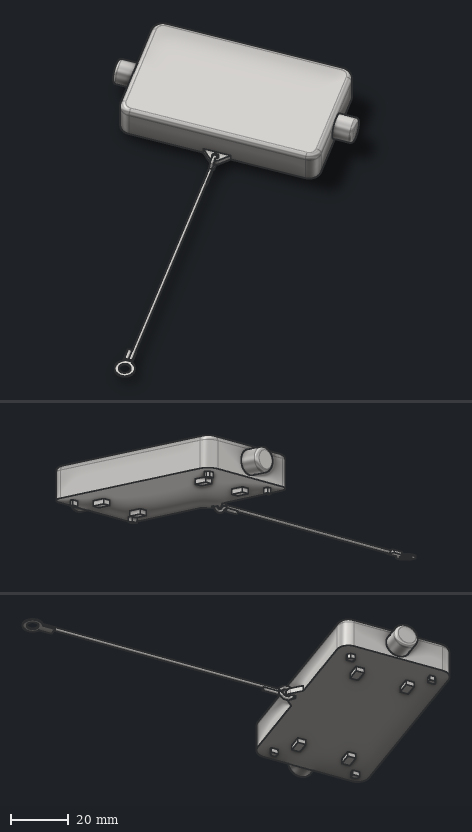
import cadquery as cq
import math

OVERALL_LENGTH = 147.5

COVER_LENGTH = 73.2
COVER_WIDTH = 42.8
COVER_HEIGHT = 12.1
CORNER_RADIUS = 4.4
TOP_EDGE_RADIUS = 1.9

BOSS_SPAN = 87.5
BOSS_RADIUS = 4.5
BOSS_HEIGHT = 5.5
BOSS_EDGE_RADIUS = 1.2

PAD_HEIGHT = 1.9
BLOCK_PAD_LENGTH = 4.9
BLOCK_PAD_WIDTH = 3.1
BLOCK_PAD_X = 23.6
BLOCK_PAD_Y = 9.6
CORNER_PAD_LENGTH = 1.8
CORNER_PAD_WIDTH = 2.7
CORNER_PAD_X = 31.3
CORNER_PAD_Y = 15.6
CORNER_PAD_CHAMFER = 0.9

TAB_HALF_WIDTH = 5.0
TAB_THICKNESS = 2.2
TAB_TIP_RADIUS = 2.2
TAB_HOLE_RADIUS = 1.2

CORD_RADIUS = 0.66
CORD_HEIGHT = TAB_THICKNESS / 2
LOOP_RADIUS = 2.2
TAIL_LENGTH = 5.9
TAIL_DROP = 1.0

RING_RADIUS = 3.5
RING_HOLE_RADIUS = 2.0
RING_THICKNESS = 0.5
TERMINAL_X = -0.7
NECK_WIDTH = 3.1
CRIMP_HEIGHT = 1.3
CRIMP_LENGTH = 4.4

FRONT_WALL_Y = -COVER_WIDTH / 2
TAB_APEX_Y = FRONT_WALL_Y - TAB_HALF_WIDTH
TAB_HOLE_Y = TAB_APEX_Y + TAB_TIP_RADIUS * math.sqrt(2)
LOOP_Y = TAB_HOLE_Y - LOOP_RADIUS
LOOP_TIP_Y = LOOP_Y - LOOP_RADIUS * math.sqrt(2)
RING_Y = COVER_WIDTH / 2 - OVERALL_LENGTH + RING_RADIUS
RING_BOTTOM = CORD_HEIGHT - CORD_RADIUS
CRIMP_END_Y = RING_Y + RING_RADIUS
NECK_LEFT_X = TERMINAL_X - NECK_WIDTH / 2
CRIMP_RIGHT_X = -CORD_RADIUS


def make_shell():
    block = cq.Workplane("XY").box(COVER_LENGTH, COVER_WIDTH, COVER_HEIGHT, centered=(True, True, False))
    return block.edges("|Z").fillet(CORNER_RADIUS).faces(">Z").edges().fillet(TOP_EDGE_RADIUS)


def make_bosses():
    boss_rod = cq.Workplane("YZ").center(0, BOSS_HEIGHT).circle(BOSS_RADIUS).extrude(BOSS_SPAN / 2, both=True)
    return boss_rod.faces("<X or >X").edges().fillet(BOSS_EDGE_RADIUS)


def make_block_pad(side_x, side_y):
    return (
        cq.Workplane("XY")
        .center(side_x * BLOCK_PAD_X, side_y * BLOCK_PAD_Y)
        .rect(BLOCK_PAD_LENGTH, BLOCK_PAD_WIDTH)
        .extrude(-PAD_HEIGHT)
    )


def make_corner_pad(side_x, side_y):
    """Small pad whose vertical edge nearest the cover corner is chamfered."""
    outer_x = CORNER_PAD_LENGTH / 2
    outer_y = CORNER_PAD_WIDTH / 2
    outline = [
        (-outer_x, -outer_y),
        (outer_x, -outer_y),
        (outer_x, outer_y - CORNER_PAD_CHAMFER),
        (outer_x - CORNER_PAD_CHAMFER, outer_y),
        (-outer_x, outer_y),
    ]
    points = [(side_x * (CORNER_PAD_X + x), side_y * (CORNER_PAD_Y + y)) for x, y in outline]
    return cq.Workplane("XY").polyline(points).close().extrude(-PAD_HEIGHT)


def make_tab():
    """Triangular tab with a rounded tip and a hole for the lanyard loop."""
    outline = [(-TAB_HALF_WIDTH, FRONT_WALL_Y), (TAB_HALF_WIDTH, FRONT_WALL_Y), (0, TAB_APEX_Y)]
    tab = cq.Workplane("XY").polyline(outline).close().extrude(TAB_THICKNESS)
    tab = tab.edges("|Z and <Y").fillet(TAB_TIP_RADIUS)
    hole = cq.Workplane("XY").center(0, TAB_HOLE_Y).circle(TAB_HOLE_RADIUS).extrude(TAB_THICKNESS)
    return tab.cut(hole)


def make_cover():
    cover = make_shell().union(make_bosses()).union(make_tab())
    for side_x in (-1, 1):
        for side_y in (-1, 1):
            cover = cover.union(make_block_pad(side_x, side_y))
            cover = cover.union(make_corner_pad(side_x, side_y))
    return cover


def make_strand(start_y, end_y, height):
    """Straight round cord running in -Y from start_y to end_y."""
    return cq.Workplane("XZ", origin=(0, start_y, height)).circle(CORD_RADIUS).extrude(start_y - end_y)


def make_loop():
    """Teardrop of cord in the YZ plane: an arc through the tab hole and two 45 degree legs."""
    tangent_offset = LOOP_RADIUS / math.sqrt(2)
    tangent_y = LOOP_Y - tangent_offset
    path = (
        cq.Workplane("YZ")
        .moveTo(LOOP_TIP_Y, CORD_HEIGHT)
        .lineTo(tangent_y, CORD_HEIGHT + tangent_offset)
        .threePointArc((LOOP_Y + LOOP_RADIUS, CORD_HEIGHT), (tangent_y, CORD_HEIGHT - tangent_offset))
        .lineTo(LOOP_TIP_Y, CORD_HEIGHT)
    )
    leg_direction = cq.Vector(0, 1, 1)
    start = cq.Plane(origin=(0, LOOP_TIP_Y, CORD_HEIGHT), xDir=(1, 0, 0), normal=leg_direction)
    return cq.Workplane(start).circle(CORD_RADIUS).sweep(path)


def make_terminal():
    """Flat ring with a neck under the cord end and a domed crimp lobe beside it."""
    base = cq.Workplane("XY", origin=(TERMINAL_X, RING_Y, RING_BOTTOM))
    neck_length = CRIMP_END_Y + CRIMP_LENGTH - RING_Y
    ring = base.circle(RING_RADIUS).extrude(RING_THICKNESS)
    neck = base.center(0, neck_length / 2).rect(NECK_WIDTH, neck_length).extrude(RING_THICKNESS)
    hole = base.circle(RING_HOLE_RADIUS).extrude(RING_THICKNESS)
    crimp = (
        cq.Workplane("XZ", origin=(0, CRIMP_END_Y + CRIMP_LENGTH, RING_BOTTOM))
        .moveTo(NECK_LEFT_X, 0)
        .threePointArc(((NECK_LEFT_X + CRIMP_RIGHT_X) / 2, CRIMP_HEIGHT), (CRIMP_RIGHT_X, 0))
        .close()
        .extrude(CRIMP_LENGTH)
    )
    return ring.union(neck).cut(hole).union(crimp)


def make_lanyard():
    cord = make_strand(LOOP_TIP_Y, CRIMP_END_Y, CORD_HEIGHT)
    tail = make_strand(LOOP_TIP_Y, LOOP_TIP_Y - TAIL_LENGTH, CORD_HEIGHT - TAIL_DROP)
    return make_loop().union(cord).union(tail).union(make_terminal())


cover = make_cover()
lanyard = make_lanyard()

result = cq.Compound.makeCompound([cover.solids().val(), lanyard.solids().val()])